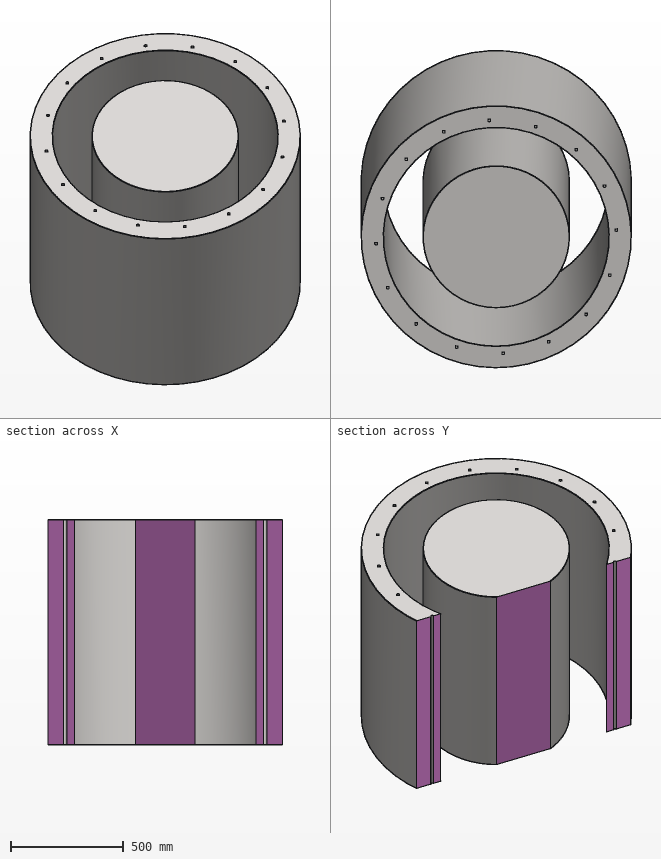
import cadquery as cq

ring_outer_diameter = 1200.0
ring_bore_diameter = 1000.0
height = 1000.0

hole_count = 16
hole_diameter = 12.0
hole_circle_diameter = 1068.0

core_diameter = 650.0

edge_chamfer = 2.0


def make_ring():
    """Thick-walled tube with broken edges and a circle of axial through holes."""
    tube = (
        cq.Workplane("XY")
        .circle(ring_outer_diameter / 2)
        .circle(ring_bore_diameter / 2)
        .extrude(height)
        .edges()
        .chamfer(edge_chamfer)
    )
    half_pitch = 180 / hole_count
    holes = (
        cq.Workplane("XY")
        .polarArray(hole_circle_diameter / 2, half_pitch, 360, hole_count)
        .circle(hole_diameter / 2)
        .extrude(height)
    )
    return tube.cut(holes)


def make_core():
    """Solid cylinder with broken end edges."""
    return cq.Workplane("XY").circle(core_diameter / 2).extrude(height).edges("%CIRCLE").chamfer(edge_chamfer)


ring = make_ring()
core = make_core()
result = cq.Compound.makeCompound([ring.val(), core.val()])